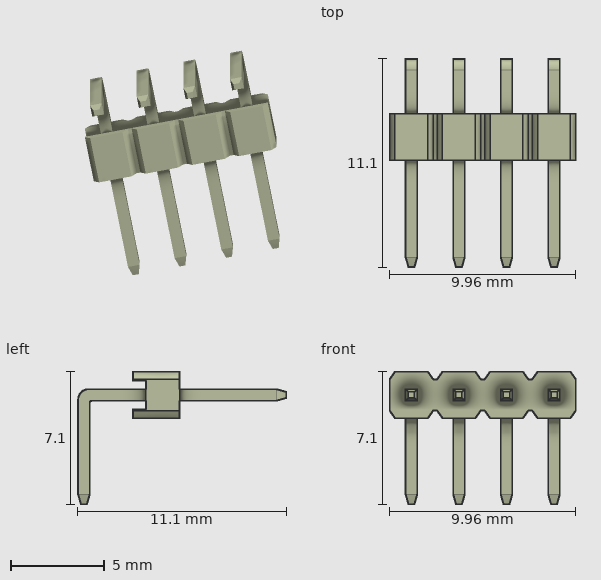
import cadquery as cq

overall_depth = 11.14

pin_count = 4
pitch = 2.54
pin_width = 0.63
tip_width = 0.32
tip_length = 0.55
front_reach = 5.71
back_reach = 2.93
leg_drop = 5.85
bend_outer_radius = 0.58
bend_inner_radius = 0.1

block_width = 2.34
housing_height = 2.5
housing_depth = overall_depth - front_reach - back_reach
bevel_width = 0.29
bevel_height = 0.41
channel_depth = 0.7
channel_height = 1.5

half_row = (pin_count - 1) * pitch / 2
pin_positions = [i * pitch - half_row for i in range(pin_count)]
housing_length = 2 * half_row + block_width
leg_center_y = housing_depth + back_reach - pin_width / 2


def octagonal_block(x):
    """Housing block around one pin, with its four long edges beveled."""
    half_width = block_width / 2
    half_height = housing_height / 2
    top_half_width = half_width - bevel_width
    side_half_height = half_height - bevel_height
    outline = [
        (x - top_half_width, half_height),
        (x + top_half_width, half_height),
        (x + half_width, side_half_height),
        (x + half_width, -side_half_height),
        (x + top_half_width, -half_height),
        (x - top_half_width, -half_height),
        (x - half_width, -side_half_height),
        (x - half_width, side_half_height),
    ]
    return cq.Workplane("XZ").polyline(outline).close().extrude(-housing_depth)


def make_housing():
    """Row of blocks joined by a lower core, with a channel along the back."""
    core_height = housing_height - 2 * bevel_height
    housing = cq.Workplane("XY").box(
        housing_length, housing_depth, core_height
    ).translate((0, housing_depth / 2, 0))
    for x in pin_positions:
        housing = housing.union(octagonal_block(x))
    channel = cq.Workplane("XY").box(
        housing_length, channel_depth, channel_height
    ).translate((0, housing_depth - channel_depth / 2, 0))
    return housing.cut(channel)


def make_tip(base_center, direction):
    """Square taper that starts at base_center and narrows along direction."""
    base = cq.Plane(origin=base_center, xDir=(1, 0, 0), normal=direction)
    return (
        cq.Workplane(base)
        .rect(pin_width, pin_width)
        .workplane(offset=tip_length)
        .rect(tip_width, tip_width)
        .loft()
    )


def make_pin():
    """Square wire at X = 0, bent down behind the housing, tapered at both ends."""
    half = pin_width / 2
    front_y = tip_length - front_reach
    leg_bottom_z = tip_length - leg_drop
    back_y = leg_center_y + half
    inner_y = leg_center_y - half
    wire = (
        cq.Workplane("YZ")
        .moveTo(front_y, half)
        .lineTo(back_y - bend_outer_radius, half)
        .radiusArc((back_y, half - bend_outer_radius), bend_outer_radius)
        .lineTo(back_y, leg_bottom_z)
        .lineTo(inner_y, leg_bottom_z)
        .lineTo(inner_y, -half - bend_inner_radius)
        .radiusArc((inner_y - bend_inner_radius, -half), -bend_inner_radius)
        .lineTo(front_y, -half)
        .close()
        .extrude(half, both=True)
    )
    mating_tip = make_tip((0, front_y, 0), (0, -1, 0))
    leg_tip = make_tip((0, leg_center_y, leg_bottom_z), (0, 0, -1))
    return wire.union(mating_tip).union(leg_tip)


result = make_housing()
pin = make_pin()
for pin_x in pin_positions:
    result = result.union(pin.translate((pin_x, 0, 0)))